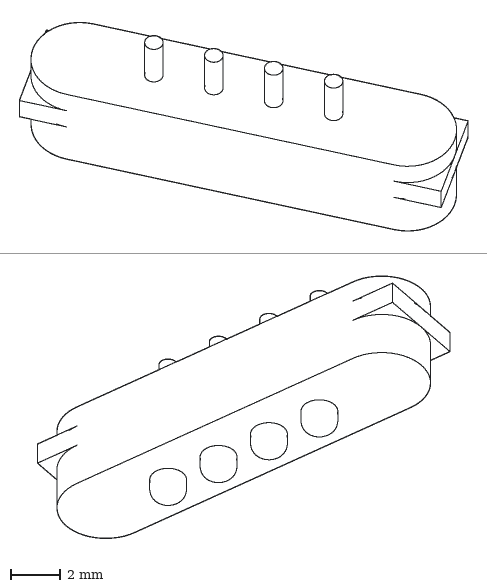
import cadquery as cq

length = 17.9
width = 4.0
height = 4.0

flange_thickness = 1.0
flange_top_gap = 1.0

contact_count = 4
contact_pitch = 2.55
tail_diameter = 0.75
tail_length = 2.0
tip_diameter = 1.5
tip_length = 1.0
tip_rounding = 0.5


def make_housing():
    """Slot-shaped body standing on Z = 0, with the flange around it."""
    body = cq.Workplane("XY").slot2D(length, width).extrude(height)
    flange_bottom = height - flange_top_gap - flange_thickness
    flange = (
        cq.Workplane("XY")
        .workplane(offset=flange_bottom)
        .rect(length, width)
        .extrude(flange_thickness)
    )
    return body.union(flange)


def make_tail(x):
    """Straight pin rising from the top face."""
    return (
        cq.Workplane("XY")
        .workplane(offset=height)
        .center(x, 0)
        .circle(tail_diameter / 2)
        .extrude(tail_length)
    )


def make_tip(x):
    """Contact tip below the bottom face, rounded at its lower edge."""
    return (
        cq.Workplane("XY")
        .center(x, 0)
        .circle(tip_diameter / 2)
        .extrude(-tip_length)
        .faces("<Z")
        .edges()
        .fillet(tip_rounding)
    )


result = make_housing()
for index in range(contact_count):
    contact_x = (index - (contact_count - 1) / 2) * contact_pitch
    result = result.union(make_tail(contact_x)).union(make_tip(contact_x))